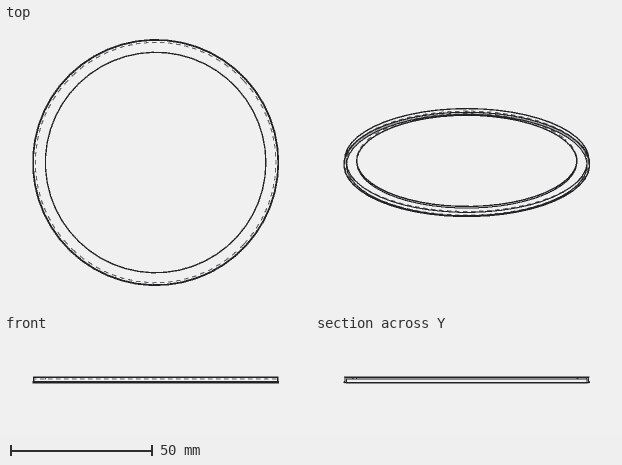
import cadquery as cq

wall_diameter = 86.3
hole_diameter = 77.7
height = 2.0

bead_radius = 0.3

recess_diameter = 84.9
flange_thickness = 0.7

wall_radius = wall_diameter / 2
hole_radius = hole_diameter / 2
recess_radius = recess_diameter / 2
flange_bottom = height - flange_thickness

section = (
    cq.Workplane("XZ")
    .moveTo(recess_radius, 0)
    .lineTo(wall_radius, 0)
    .threePointArc((wall_radius + bead_radius, bead_radius), (wall_radius, 2 * bead_radius))
    .lineTo(wall_radius, height)
    .lineTo(hole_radius, height)
    .lineTo(hole_radius, flange_bottom)
    .lineTo(recess_radius, flange_bottom)
    .close()
)

result = section.revolve(360, (0, 0, 0), (0, 1, 0))